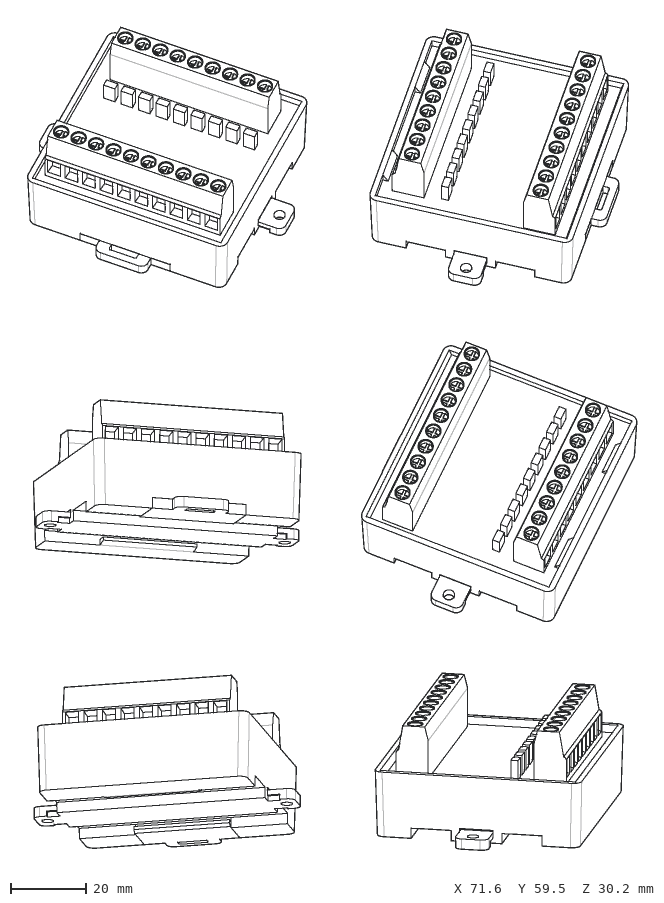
import cadquery as cq
import math

BODY_X = 58.0
BODY_Y = 56.1
BODY_Z = 18.05
DRAFT = 0.465
CORNER_R = 2.3

TRAY_X = 54.85
TRAY_BACK = 26.5
TRAY_FRONT_RIM = -26.6
TRAY_FRONT_FLOOR = -25.9
PANEL_DEPTH = 2.15
PANEL_T = 1.4
PANEL_TOP = BODY_Z - PANEL_DEPTH
PANEL_BOTTOM = PANEL_TOP - PANEL_T

SNAP_X = 15.6
SNAP_WIDTH = 9.0
SNAP_REACH = 1.5

CHANNEL_Z = 2.85
CHANNEL_BACK = 17.6
CHANNEL_FRONT = -18.0
LEG_BACK = 6.7
LEG_FRONT = -7.1

HOOK_REACH = 2.85
HOOK_TOP = 1.6
HOOK_TIP_Z = 0.7

OVERALL_X = 71.6
FOOT_Y = -0.2
FOOT_WIDTH = 9.0
FOOT_T = 2.85
FOOT_CORNER_R = 1.9
FOOT_HOLE_D = 3.0
FOOT_HOLE_X = 32.8
FOOT_NOTCH_X = 31.9
FOOT_NOTCH_Z = 1.4
FOOT_NOTCH_DEPTH = 0.85
FOOT_RELIEF_Z = 0.7
FOOT_RELIEF_DEPTH = 1.4

LATCH_WIDTH = 26.2
LATCH_T = 2.85
LATCH_FACE = -(BODY_Y / 2 - DRAFT)
LATCH_TIP = -31.4
RING_WIDTH = 15.0
RING_CORNER_R = 1.9
RING_WINDOW_X = 7.95
RING_WINDOW_FRONT = -29.4
RING_WINDOW_R = 0.4
NOSE_REACH = 1.85
NOSE_TOP = 1.7
NOSE_TIP_Z = 0.85
NOSE_BASE_REACH = 1.15

PITCH = 5.1
FRONT_WAYS = 10
BACK_WAYS = 9
BLOCK_TOP = 30.2
BLOCK_WIRE_FACE = 22.8
BLOCK_TOP_OUTER = 20.9
BLOCK_TOP_INNER = 14.9
BLOCK_INNER_FACE = 13.95
LEDGE_Z = 22.8
LEDGE_SIZE = 0.7
LEDGE_BULGE = 0.1
BLOCK_SHOULDER_Z = 26.5
BLOCK_END_WALL = 0.15
BACK_BLOCK_SHIFT = 0.3

SCREW_HOLE_D = 4.1
SCREW_RIM_DEPTH = 0.3
SCREW_D = 3.65
SCREW_DEPTH = 1.7
SCREW_Y = 18.05
SCREW_SLOT = 0.7
SCREW_SLOT_DEPTH = 0.4

ENTRY_WIDTH = 3.65
ENTRY_TOP = 22.6
ENTRY_BOTTOM = 17.6
ENTRY_BACK_WIDTH = 2.6
ENTRY_BACK_TOP = 21.6
ENTRY_BACK_BOTTOM = 18.55
ENTRY_DEPTH = 1.8

INDICATOR_X = 3.3
INDICATOR_Y = 1.9
INDICATOR_TOP = 21.35
INDICATOR_ROW_Y = 8.7


def box(x0, x1, y0, y1, z0, z1):
    return cq.Workplane("XY").box(x1 - x0, y1 - y0, z1 - z0, centered=False).translate((x0, y0, z0))


def upright_cylinder(diameter, z0, z1):
    return cq.Workplane("XY", origin=(0, 0, z0)).circle(diameter / 2).extrude(z1 - z0)


def bar_along_x(profile_yz, width, center_x=0.0):
    """Prism along X from a closed list of (Y, Z) points."""
    prism = cq.Workplane("YZ").polyline(profile_yz).close().extrude(width / 2, both=True)
    return prism.translate((center_x, 0, 0))


def row_positions(ways):
    return [(i - (ways - 1) / 2) * PITCH for i in range(ways)]


def make_shell():
    draft_angle = math.degrees(math.atan(DRAFT / BODY_Z))
    shell = cq.Workplane("XY").rect(BODY_X, BODY_Y).extrude(-BODY_Z, taper=draft_angle)
    return shell.translate((0, 0, BODY_Z)).edges("not(#Z or |X or |Y)").fillet(CORNER_R)


def make_tray():
    return bar_along_x(
        [
            (TRAY_BACK, BODY_Z),
            (TRAY_BACK, PANEL_BOTTOM),
            (TRAY_FRONT_FLOOR, PANEL_BOTTOM),
            (TRAY_FRONT_FLOOR, PANEL_TOP),
            (TRAY_FRONT_RIM, BODY_Z),
        ],
        TRAY_X,
    )


def make_snap(center_x):
    return bar_along_x(
        [
            (TRAY_BACK, BODY_Z),
            (TRAY_BACK, PANEL_TOP),
            (TRAY_BACK - SNAP_REACH, PANEL_TOP),
        ],
        SNAP_WIDTH,
        center_x,
    )


def make_rail_hook():
    return bar_along_x(
        [
            (CHANNEL_BACK, 0),
            (CHANNEL_BACK, HOOK_TOP),
            (CHANNEL_BACK - HOOK_REACH, HOOK_TOP),
            (CHANNEL_BACK - HOOK_REACH, HOOK_TIP_Z),
        ],
        LATCH_WIDTH,
    )


def make_foot():
    """Foot on the +X wall."""
    wall_x = BODY_X / 2 - DRAFT - FOOT_RELIEF_DEPTH
    tip_x = OVERALL_X / 2
    y0 = FOOT_Y - FOOT_WIDTH / 2
    y1 = FOOT_Y + FOOT_WIDTH / 2
    foot = box(wall_x, tip_x, y0, y1, 0, FOOT_T).edges("|Z and >X").fillet(FOOT_CORNER_R)
    hole = upright_cylinder(FOOT_HOLE_D, 0, FOOT_T).translate((FOOT_HOLE_X, FOOT_Y, 0))
    outer_x = BODY_X / 2 - DRAFT
    front_notch = box(outer_x, FOOT_NOTCH_X, y0, y0 + FOOT_NOTCH_DEPTH, 0, FOOT_NOTCH_Z)
    back_notch = box(outer_x, FOOT_NOTCH_X, y1 - FOOT_NOTCH_DEPTH, y1, 0, FOOT_NOTCH_Z)
    return foot.cut(hole).cut(front_notch).cut(back_notch)


def make_foot_relief():
    """Wedge cut out of the +X wall above the foot, highest at the outside."""
    wall_x = BODY_X / 2
    relief = (
        cq.Workplane("XZ")
        .polyline(
            [
                (wall_x, FOOT_T),
                (wall_x, FOOT_T + FOOT_RELIEF_Z),
                (wall_x - DRAFT, FOOT_T + FOOT_RELIEF_Z),
                (wall_x - DRAFT - FOOT_RELIEF_DEPTH, FOOT_T),
            ]
        )
        .close()
        .extrude(FOOT_WIDTH / 2, both=True)
    )
    return relief.translate((0, FOOT_Y, 0))


def make_housing():
    half_x = BODY_X / 2
    housing = make_shell().cut(make_tray())
    housing = housing.cut(box(-half_x, half_x, LEG_BACK, CHANNEL_BACK, 0, CHANNEL_Z))
    housing = housing.cut(box(-half_x, half_x, CHANNEL_FRONT, LEG_FRONT, 0, CHANNEL_Z))
    housing = housing.union(make_rail_hook())
    for side in (-1, 1):
        housing = housing.union(make_snap(side * SNAP_X))
    foot = make_foot()
    relief = make_foot_relief()
    housing = housing.cut(relief).cut(relief.mirror("YZ"))
    housing = housing.union(foot).union(foot.mirror("YZ"))
    half_latch = LATCH_WIDTH / 2
    return housing.cut(box(-half_latch, half_latch, -BODY_Y / 2, CHANNEL_FRONT, 0, LATCH_T))


def make_latch():
    slide = bar_along_x(
        [
            (LATCH_FACE, 0),
            (LATCH_FACE, LATCH_T),
            (CHANNEL_FRONT, LATCH_T),
            (CHANNEL_FRONT, NOSE_TOP),
            (CHANNEL_FRONT + NOSE_REACH, NOSE_TOP),
            (CHANNEL_FRONT + NOSE_REACH, NOSE_TIP_Z),
            (CHANNEL_FRONT + NOSE_BASE_REACH, 0),
        ],
        LATCH_WIDTH,
    )
    half_ring = RING_WIDTH / 2
    ring = box(-half_ring, half_ring, LATCH_TIP, LATCH_FACE, 0, LATCH_T)
    ring = ring.edges("|Z and <Y").fillet(RING_CORNER_R)
    half_window = RING_WINDOW_X / 2
    window = box(-half_window, half_window, RING_WINDOW_FRONT, LATCH_FACE, 0, LATCH_T)
    window = window.edges("|Z and <Y").fillet(RING_WINDOW_R)
    return slide.union(ring.cut(window))


def make_wire_entry():
    """Tapered recess opening toward -Y, centred on X = 0."""
    face = cq.Workplane("XZ", origin=(0, -BLOCK_WIRE_FACE, 0))
    return (
        face.center(0, (ENTRY_TOP + ENTRY_BOTTOM) / 2)
        .rect(ENTRY_WIDTH, ENTRY_TOP - ENTRY_BOTTOM)
        .workplane(offset=-ENTRY_DEPTH)
        .center(0, (ENTRY_BACK_TOP + ENTRY_BACK_BOTTOM - ENTRY_TOP - ENTRY_BOTTOM) / 2)
        .rect(ENTRY_BACK_WIDTH, ENTRY_BACK_TOP - ENTRY_BACK_BOTTOM)
        .loft(combine=True)
    )


def make_screw_recess():
    """Round well down to the screw head, with the cross slots in the head, on X = 0."""
    well_bottom = BLOCK_TOP - SCREW_DEPTH
    slot_bottom = well_bottom - SCREW_SLOT_DEPTH
    rim = upright_cylinder(SCREW_HOLE_D, BLOCK_TOP - SCREW_RIM_DEPTH, BLOCK_TOP)
    well = upright_cylinder(SCREW_D, well_bottom, BLOCK_TOP)
    head = upright_cylinder(SCREW_D, slot_bottom, well_bottom)
    half_slot = SCREW_SLOT / 2
    slot = box(-SCREW_D / 2, SCREW_D / 2, -half_slot, half_slot, slot_bottom, well_bottom)
    cross = slot.union(slot.rotate((0, 0, 0), (0, 0, 1), 90)).intersect(head)
    return rim.union(well).union(cross).translate((0, -SCREW_Y, 0))


def make_terminal_block(ways):
    """Terminal block with its wire entries facing -Y."""
    length = ways * PITCH + BLOCK_END_WALL
    ledge_inner = -BLOCK_WIRE_FACE + LEDGE_SIZE
    ledge_middle = (ledge_inner - LEDGE_SIZE / 2 - LEDGE_BULGE, LEDGE_Z + LEDGE_SIZE / 2 + LEDGE_BULGE)
    block = (
        cq.Workplane("YZ")
        .moveTo(-BLOCK_WIRE_FACE, PANEL_TOP)
        .lineTo(-BLOCK_WIRE_FACE, LEDGE_Z)
        .threePointArc(ledge_middle, (ledge_inner, LEDGE_Z + LEDGE_SIZE))
        .lineTo(-BLOCK_TOP_OUTER, BLOCK_TOP)
        .lineTo(-BLOCK_TOP_INNER, BLOCK_TOP)
        .lineTo(-BLOCK_INNER_FACE, BLOCK_SHOULDER_Z)
        .lineTo(-BLOCK_INNER_FACE, PANEL_TOP)
        .close()
        .extrude(length / 2, both=True)
    )
    entry = make_wire_entry()
    screw_recess = make_screw_recess()
    for x in row_positions(ways):
        block = block.cut(entry.translate((x, 0, 0))).cut(screw_recess.translate((x, 0, 0)))
    return block


def make_cover():
    half_x = TRAY_X / 2
    cover = box(-half_x, half_x, TRAY_FRONT_FLOOR, TRAY_BACK, PANEL_BOTTOM, PANEL_TOP)
    front_block = make_terminal_block(FRONT_WAYS)
    back_block = make_terminal_block(BACK_WAYS).rotate((0, 0, 0), (0, 0, 1), 180)
    cover = cover.union(front_block).union(back_block.translate((0, BACK_BLOCK_SHIFT, 0)))
    for x in row_positions(BACK_WAYS):
        indicator = box(
            x - INDICATOR_X / 2,
            x + INDICATOR_X / 2,
            INDICATOR_ROW_Y - INDICATOR_Y / 2,
            INDICATOR_ROW_Y + INDICATOR_Y / 2,
            PANEL_TOP,
            INDICATOR_TOP,
        )
        cover = cover.union(indicator)
    return cover


latch = make_latch()
housing = make_housing()
cover = make_cover()

result = cq.Compound.makeCompound([housing.val(), latch.val(), cover.val()])